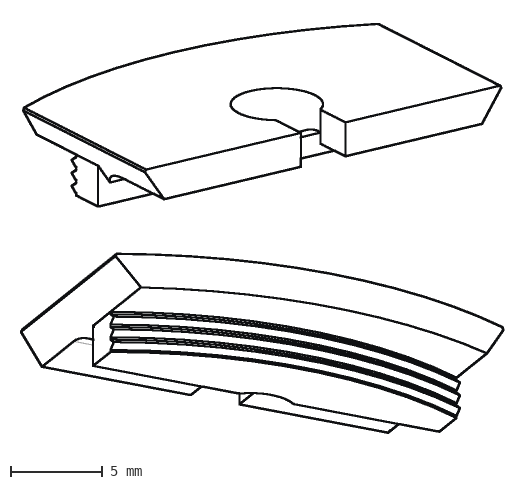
import cadquery as cq
import math

length_x = 14.39
width_y = 23.5
plate_thickness = 1.97
front_radius = 27.5
bottom_width = 20.97
lip_height = 0.15
lip_inset = 0.07

hole_x = 9.92
hole_radius = 2.52
slot_width = 2.95

jaw_height = 2.37
jaw_back_x = 8.02
tooth_tip_x = 3.08
tooth_depth = 0.38
tooth_count = 3
tooth_pitch = 0.75
root_flat = 0.15

web_length = 2.42
web_drop = 1.13

arc_center_x = front_radius
tip_radius = arc_center_x - tooth_tip_x
root_radius = tip_radius - tooth_depth


def beveled_prism():
    """Full-length prism with undercut sides that carry on below the plate."""
    side_slope = (width_y - bottom_width) / 2 / (plate_thickness - lip_height)
    half_top = width_y / 2 - lip_inset
    half_low = bottom_width / 2 - side_slope * web_drop
    lip_z = plate_thickness - lip_height
    outline = [
        (-half_low, -web_drop),
        (half_low, -web_drop),
        (width_y / 2, lip_z),
        (half_top, plate_thickness),
        (-half_top, plate_thickness),
        (-width_y / 2, lip_z),
    ]
    return cq.Workplane("YZ").polyline(outline).close().extrude(length_x)


def plate_and_web():
    """Plate side profile with a web arc tangent to the underside."""
    web_radius = (web_length**2 + web_drop**2) / (2 * web_drop)
    web_end_x = jaw_back_x + web_length
    half_angle = math.asin(web_length / web_radius) / 2
    arc_middle = (
        web_end_x - web_radius * math.sin(half_angle),
        -web_radius * (1 - math.cos(half_angle)),
    )
    profile = (
        cq.Workplane("XZ")
        .moveTo(0, plate_thickness)
        .lineTo(0, 0)
        .lineTo(jaw_back_x, 0)
        .lineTo(jaw_back_x, -web_drop)
        .threePointArc(arc_middle, (web_end_x, 0))
        .lineTo(length_x, 0)
        .lineTo(length_x, plate_thickness)
        .close()
        .extrude(width_y / 2, both=True)
    )
    front_disc = (
        cq.Workplane("XY", origin=(arc_center_x, 0, -jaw_height))
        .circle(front_radius)
        .extrude(jaw_height + plate_thickness)
    )
    return profile.intersect(beveled_prism()).intersect(front_disc)


def jaw():
    """Block with a straight back and ridges revolved about the front arc axis."""
    flank_height = (tooth_pitch - root_flat) / 2
    points = [(0, 0), (root_radius, 0)]
    for index in range(tooth_count):
        root_z = -index * tooth_pitch - root_flat
        points.append((root_radius, root_z))
        points.append((tip_radius, root_z - flank_height))
        points.append((root_radius, root_z - 2 * flank_height))
    points += [(root_radius, -jaw_height), (0, -jaw_height)]
    ridged_disc = (
        cq.Workplane("XZ")
        .polyline(points)
        .close()
        .revolve(360, (0, 0, 0), (0, 1, 0))
        .translate((arc_center_x, 0, 0))
    )
    block = cq.Workplane("XY").box(
        jaw_back_x, bottom_width, jaw_height, centered=(False, True, False)
    ).translate((0, 0, -jaw_height))
    return block.intersect(ridged_disc)


def keyhole():
    """Round hole with a slot opening through the back edge."""
    depth = jaw_height + plate_thickness
    base = cq.Workplane("XY", origin=(0, 0, -jaw_height))
    hole = base.center(hole_x, 0).circle(hole_radius).extrude(depth)
    slot_length = length_x - hole_x
    slot = base.center(hole_x + slot_length / 2, 0).rect(slot_length, slot_width).extrude(depth)
    return hole.union(slot)


result = plate_and_web().union(jaw()).cut(keyhole())